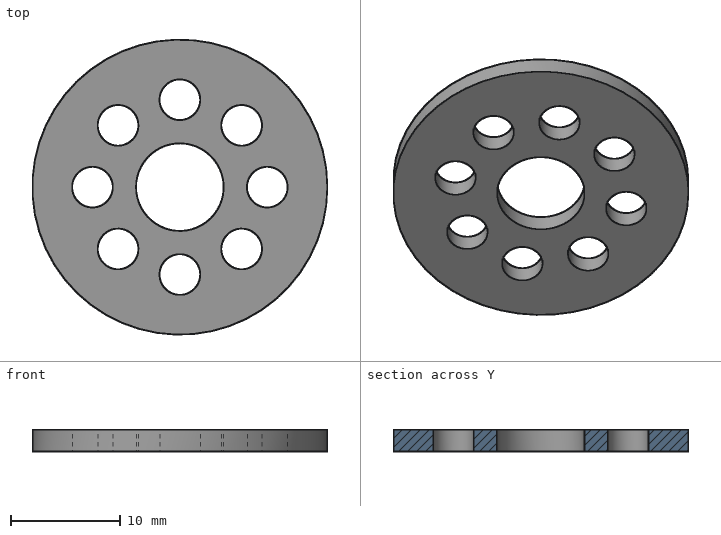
import cadquery as cq

disc_diameter = 27.0
thickness = 2.0
bore_diameter = 8.0
hole_diameter = 3.7
hole_count = 8
hole_circle_radius = bore_diameter

disc = cq.Workplane("XY").circle(disc_diameter / 2).extrude(thickness)

disc = disc.faces(">Z").workplane().hole(bore_diameter)

result = (
    disc.faces(">Z")
    .workplane()
    .polarArray(hole_circle_radius, 0, 360, hole_count)
    .hole(hole_diameter)
)